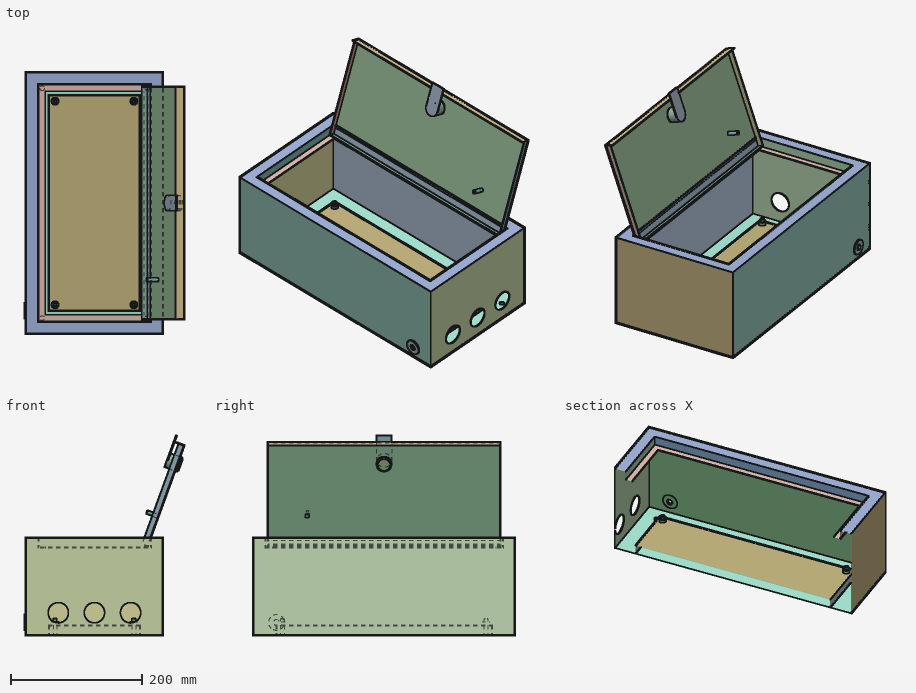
import cadquery as cq


WIDTH = 210.0
LENGTH = 400.0
HEIGHT = 150.0
SHEET = 1.5
RIM_WIDTH = 20.0
RECESS_DEPTH = 15.0
LEDGE_WIDTH = 10.0
CABLE_HOLE_D = 31.0
CABLE_HOLE_PITCH = 55.0
CABLE_HOLE_COUNT = 3
CABLE_HOLE_Z = 35.0
WALL_HOLE_D = 7.0
WALL_HOLE_INSET = 25.0
EARTH_BOSS_D = 24.0
EARTH_BOSS_HEIGHT = 2.0
EARTH_BOSS_HOLE_D = 9.0
EARTH_BOSS_Y = 36.0
EARTH_BOSS_Z = 20.5

PLATE_INSET = 35.0
PLATE_TOP_Z = 16.5

FASTENER_INSET = 45.0
STUD_D = 6.0
STUD_TOP_Z = 26.5
NUT_D = 11.0
NUT_HEIGHT = 5.0
TIP_CHAMFER = 1.0

OPEN_TILT = 20.0
HINGE_X = 186.18
DOOR_GAP = 2.5
DOOR_WIDTH = WIDTH - 2 * RIM_WIDTH - 2 * DOOR_GAP
SIDE_FLANGE = 10.0
LOCK_FLANGE = 15.0
PIN_D = 6.0
PIN_LENGTH = 18.5
PIN_Y = 83.0
PIN_FROM_HINGE = 49.5

LOCK_D = 23.0
LOCK_FROM_EDGE = 30.5
LOCK_HEAD_HEIGHT = 4.5
LOCK_HEAD_CHAMFER = 2.0
CAM_HEIGHT = 16.0
CAM_THICKNESS = 2.0
CAM_REACH = 40.0


def box(x_range, y_range, z_range):
    """Box between the given limits."""
    size = [high - low for low, high in (x_range, y_range, z_range)]
    corner = cq.Vector(x_range[0], y_range[0], z_range[0])
    return cq.Workplane(cq.Solid.makeBox(*size, corner))


def inset_box(inset, z_low, z_high):
    """Box over the housing footprint, drawn in by an inset on all four sides."""
    return box((inset, WIDTH - inset), (inset, LENGTH - inset), (z_low, z_high))


def post(x, y, diameter, z_low, z_high):
    """Upright cylinder."""
    return cq.Workplane().workplane(offset=z_low).center(x, y).circle(diameter / 2).extrude(z_high - z_low)


def corner_points(inset):
    """Four points drawn in from the corners of the housing footprint."""
    return [(x, y) for x in (inset, WIDTH - inset) for y in (inset, LENGTH - inset)]


ledge_z = HEIGHT - RECESS_DEPTH


def swing_open(flat):
    """Turn a flat-modelled part up about the hinge edge and place it on the housing."""
    return flat.rotate((0, 0, 0), (0, 1, 0), OPEN_TILT - 90).translate((HINGE_X, 0, ledge_z))


door_y = (RIM_WIDTH + DOOR_GAP, LENGTH - RIM_WIDTH - DOOR_GAP)
door_inner_y = (door_y[0] + SHEET, door_y[1] - SHEET)
lock_x = DOOR_WIDTH - LOCK_FROM_EDGE
lock_y = LENGTH / 2


def make_door():
    """Shallow sheet metal tray with a deeper flange at the lock edge and a pin inside."""
    tray = box((0, DOOR_WIDTH), door_y, (0, SIDE_FLANGE))
    pocket = box((SHEET, DOOR_WIDTH - SHEET), door_inner_y, (SHEET, SIDE_FLANGE))
    lock_flange = box((DOOR_WIDTH - SHEET, DOOR_WIDTH), door_y, (0, LOCK_FLANGE))
    pin = post(PIN_FROM_HINGE, PIN_Y, PIN_D, 0, SHEET + PIN_LENGTH).faces(">Z").chamfer(TIP_CHAMFER)
    lock_hole = post(lock_x, lock_y, LOCK_D, 0, SHEET)
    return swing_open(tray.cut(pocket).union(lock_flange).union(pin).cut(lock_hole))


def make_lock():
    """Round lock barrel through the door, with a latching cam on its inner end."""
    barrel = post(lock_x, lock_y, LOCK_D, -LOCK_HEAD_HEIGHT, CAM_HEIGHT)
    barrel = barrel.faces("<Z").chamfer(LOCK_HEAD_CHAMFER)
    radius = LOCK_D / 2
    cam = (
        cq.Workplane(origin=(lock_x, lock_y, CAM_HEIGHT))
        .moveTo(CAM_REACH, radius)
        .lineTo(0, radius)
        .threePointArc((-radius, 0), (0, -radius))
        .lineTo(CAM_REACH, -radius)
        .close()
        .extrude(CAM_THICKNESS)
    )
    return swing_open(barrel.union(cam))


def make_shell():
    """Sheet metal box with a stepped recess for the door in its top."""
    opening = RIM_WIDTH + LEDGE_WIDTH
    recess_floor_z = ledge_z - SHEET
    shell = inset_box(0, 0, HEIGHT).cut(inset_box(SHEET, SHEET, HEIGHT - SHEET))
    recess_walls = inset_box(RIM_WIDTH - SHEET, recess_floor_z, HEIGHT)
    shell = shell.union(recess_walls)
    shell = shell.cut(inset_box(RIM_WIDTH, ledge_z, HEIGHT))
    return shell.cut(inset_box(opening, recess_floor_z, ledge_z))


def make_housing():
    """Shell with its earth boss, cable holes and wall mounting holes."""
    housing = make_shell()

    earth_boss = cq.Workplane("YZ", origin=(-EARTH_BOSS_HEIGHT, EARTH_BOSS_Y, EARTH_BOSS_Z))
    housing = housing.union(earth_boss.circle(EARTH_BOSS_D / 2).extrude(EARTH_BOSS_HEIGHT))
    housing = housing.cut(earth_boss.circle(EARTH_BOSS_HOLE_D / 2).extrude(EARTH_BOSS_HEIGHT + SHEET))

    for index in range(CABLE_HOLE_COUNT):
        x = WIDTH / 2 + (index - (CABLE_HOLE_COUNT - 1) / 2) * CABLE_HOLE_PITCH
        front_wall = cq.Workplane("XZ", origin=(x, SHEET, CABLE_HOLE_Z))
        housing = housing.cut(front_wall.circle(CABLE_HOLE_D / 2).extrude(SHEET))

    for x, y in corner_points(WALL_HOLE_INSET):
        housing = housing.cut(post(x, y, WALL_HOLE_D, 0, SHEET))

    return housing


def make_plate():
    """Inverted tray with a hole for the stud at each corner."""
    plate = inset_box(PLATE_INSET, SHEET, PLATE_TOP_Z)
    plate = plate.cut(inset_box(PLATE_INSET + SHEET, SHEET, PLATE_TOP_Z - SHEET))
    for x, y in corner_points(FASTENER_INSET):
        plate = plate.cut(post(x, y, STUD_D, SHEET, PLATE_TOP_Z))
    return plate


def make_fastener(x, y):
    """Stud standing on the floor with a round nut on top of the plate."""
    stud = post(x, y, STUD_D, SHEET, STUD_TOP_Z).faces(">Z").chamfer(TIP_CHAMFER)
    return stud.union(post(x, y, NUT_D, PLATE_TOP_Z, PLATE_TOP_Z + NUT_HEIGHT))


housing = make_housing()
door = make_door().cut(housing)
lock = make_lock()
plate = make_plate()
fasteners = [make_fastener(x, y) for x, y in corner_points(FASTENER_INSET)]

result = cq.Compound.makeCompound(
    [housing.val(), plate.val(), door.val(), lock.val(), *[fastener.val() for fastener in fasteners]]
)